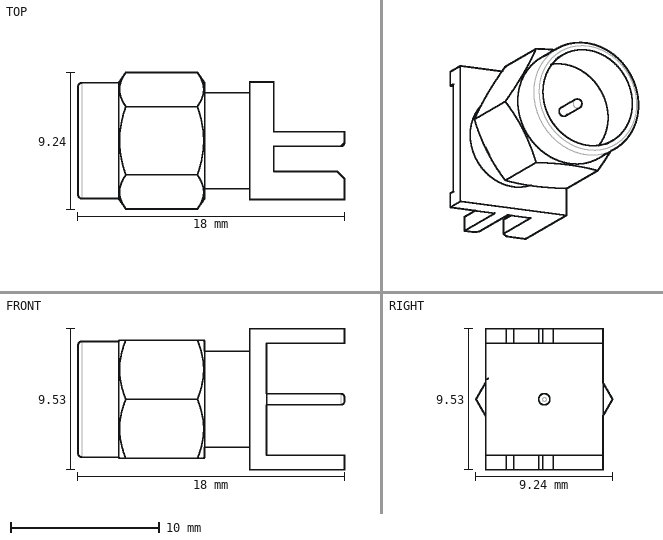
import cadquery as cq
import math

total_length = 18.01

sleeve_radius = 3.92
sleeve_rim_fillet = 0.27
nut_start = 2.75
nut_end = 8.55
nut_sides = 6
nut_across_flats = 8.0
nut_corner_chamfer_length = 0.48
bore_radius = 3.35
bore_depth = 3.8

barrel_radius = 3.25

flange_start = 11.6
flange_web_thickness = 1.15
flange_edge_thickness = 1.64
flange_width = 7.94
flange_height = 9.53
leg_thickness = 0.99
wide_leg_inner_y = -2.06
wide_leg_chamfer = 0.5
narrow_leg_inner_y = -0.36
narrow_leg_outer_y = 0.62
narrow_leg_chamfer = 0.25

contact_radius = 0.32
contact_tip = 1.3
tail_radius = 0.38
tail_fillet = 0.25

nut_corner_radius = nut_across_flats / 2 / math.cos(math.pi / nut_sides)
flange_half_width = flange_width / 2
flange_half_height = flange_height / 2


def cylinder_along_x(radius, start, end):
    return cq.Workplane("YZ", origin=(start, 0, 0)).circle(radius).extrude(end - start)


def make_sleeve():
    """Round sleeve with a rounded front rim, running into the nut."""
    sleeve = cylinder_along_x(sleeve_radius, 0, nut_end)
    return sleeve.faces("<X").edges().fillet(sleeve_rim_fillet)


def make_hex_nut():
    """Hexagon with corners on +Y and -Y, both ends turned down to the sleeve radius."""
    hexagon = (
        cq.Workplane("YZ", origin=(nut_start, 0, 0))
        .polygon(nut_sides, 2 * nut_corner_radius)
        .extrude(nut_end - nut_start)
    )
    turned_envelope = (
        cylinder_along_x(nut_corner_radius, nut_start, nut_end)
        .faces("<X or >X")
        .edges()
        .chamfer(nut_corner_chamfer_length, nut_corner_radius - sleeve_radius)
    )
    return hexagon.intersect(turned_envelope)


def make_flange():
    """Flange plate with a pair of board legs along its top edge and its bottom edge."""
    leg_root = flange_start + flange_edge_thickness
    edge_layer = (
        cq.Workplane("XY", origin=(0, 0, -flange_half_height))
        .moveTo(flange_start, -flange_half_width)
        .lineTo(total_length, -flange_half_width)
        .lineTo(total_length, wide_leg_inner_y - wide_leg_chamfer)
        .lineTo(total_length - wide_leg_chamfer, wide_leg_inner_y)
        .lineTo(leg_root, wide_leg_inner_y)
        .lineTo(leg_root, narrow_leg_inner_y)
        .lineTo(total_length - narrow_leg_chamfer, narrow_leg_inner_y)
        .lineTo(total_length, narrow_leg_inner_y + narrow_leg_chamfer)
        .lineTo(total_length, narrow_leg_outer_y)
        .lineTo(leg_root, narrow_leg_outer_y)
        .lineTo(leg_root, flange_half_width)
        .lineTo(flange_start, flange_half_width)
        .close()
        .extrude(leg_thickness)
    )
    web = cq.Workplane("XY").box(
        flange_web_thickness, flange_width, flange_height, centered=(False, True, True)
    )
    web = web.translate((flange_start, 0, 0))
    return web.union(edge_layer).union(edge_layer.mirror("XY"))


def make_contact():
    """Contact pin with a domed tip, standing on the bore floor."""
    pin = cylinder_along_x(contact_radius, contact_tip + contact_radius, nut_end)
    dome = cq.Workplane("XY").sphere(contact_radius).translate((contact_tip + contact_radius, 0, 0))
    return pin.union(dome)


def make_tail():
    """Solder tail of the contact, rounded at its end and level with the legs."""
    tail = cylinder_along_x(tail_radius, flange_start, total_length)
    return tail.faces(">X").edges().fillet(tail_fillet)


shell = make_sleeve().union(make_hex_nut())
shell = shell.cut(cylinder_along_x(bore_radius, 0, bore_depth))
barrel = cylinder_along_x(barrel_radius, bore_depth, flange_start)

result = shell.union(barrel).union(make_flange()).union(make_contact()).union(make_tail())